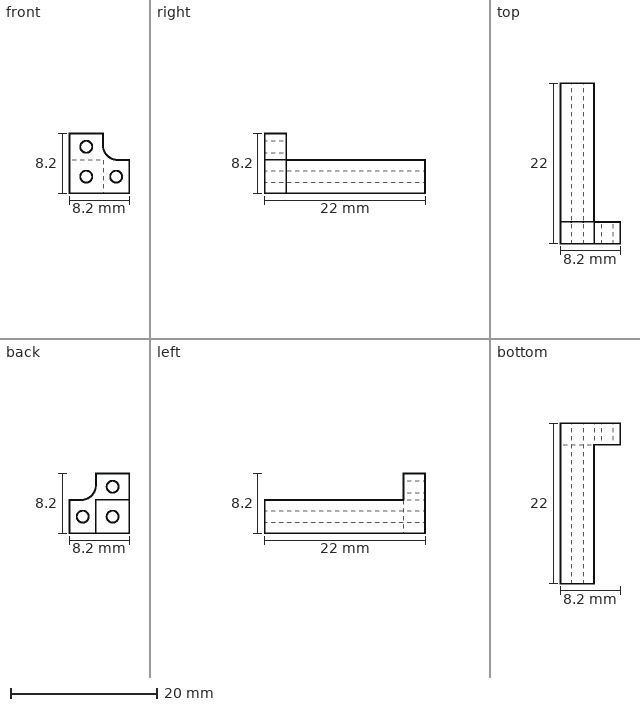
import cadquery as cq

length = 22.0
flange_side = 8.2
bar_side = 4.6
flange_thickness = 3.0
corner_radius = 2.0
hole_diameter = 1.6
hole_spacing = 4.1

near = bar_side / 2
far = near + hole_spacing
hole_centers = [(near, near), (far, near), (near, far)]


def extrude_back(profile, depth):
    """Extrude an XZ profile from the front face (Y = 0) toward +Y."""
    return profile.extrude(-depth)


def make_flange():
    """L-shaped plate with a rounded inner corner."""
    profile = (
        cq.Workplane("XZ")
        .lineTo(flange_side, 0)
        .lineTo(flange_side, bar_side)
        .lineTo(bar_side + corner_radius, bar_side)
        .radiusArc((bar_side, bar_side + corner_radius), corner_radius)
        .lineTo(bar_side, flange_side)
        .lineTo(0, flange_side)
        .close()
    )
    return extrude_back(profile, flange_thickness)


def make_bar():
    """Square bar running the full length."""
    return extrude_back(cq.Workplane("XZ").rect(bar_side, bar_side, centered=False), length)


def make_holes():
    """Through holes parallel to Y; the corner one runs the whole bar."""
    profile = cq.Workplane("XZ").pushPoints(hole_centers).circle(hole_diameter / 2)
    return extrude_back(profile, length)


result = make_flange().union(make_bar()).cut(make_holes())